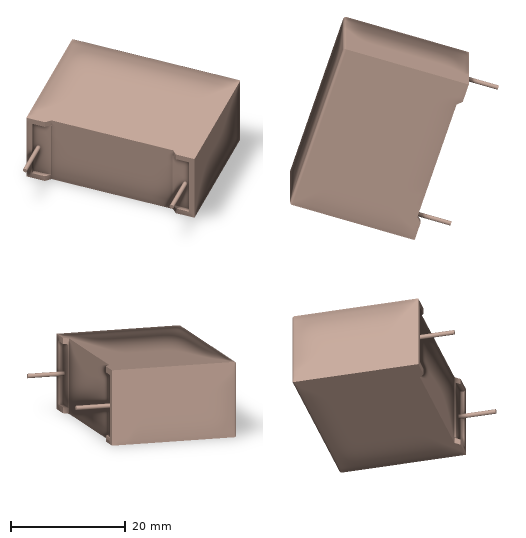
import cadquery as cq

length = 31.5
height = 13.5
depth = 23.0
wall = 1.07
back_fillet = 0.5

recess_depth = 0.88
foot_length = 3.5
bridge_start = foot_length + recess_depth
bridge_thickness = wall

fill_proud = 0.15
fill_level = recess_depth - fill_proud

overall_depth = 29.0
lead_diameter = 0.8
lead_spacing = 27.5
lead_length = overall_depth - depth + fill_level

cavity_length = length - 2 * wall
cavity_height = height - 2 * wall
bridge_length = length - 2 * bridge_start


def y_box(size_x, size_z, y_start, y_end):
    """Box centred on X and Z, spanning y_start to y_end."""
    return cq.Workplane("XY").box(size_x, y_end - y_start, size_z).translate((0, (y_start + y_end) / 2, 0))


def make_bridge():
    """Cover plate across the middle of the cavity, flush with the recess floor."""
    return y_box(bridge_length, cavity_height, recess_depth, recess_depth + bridge_thickness)


def make_housing():
    """Open box with rounded back edges, a recessed underside and a bridge over its opening."""
    shell = y_box(length, height, 0, depth).faces(">Y").edges().fillet(back_fillet)
    cavity = y_box(cavity_length, cavity_height, 0, depth - wall)
    foot_x = length / 2 - foot_length
    bridge_x = bridge_length / 2
    recess = (
        cq.Workplane("XY")
        .polyline([(-foot_x, 0), (-bridge_x, recess_depth), (bridge_x, recess_depth), (foot_x, 0)])
        .close()
        .extrude(height / 2, both=True)
    )
    return shell.cut(cavity).cut(recess).union(make_bridge())


def make_filling():
    """Block filling the cavity, notched so that its two ends rise beside the bridge."""
    block = y_box(cavity_length, cavity_height, fill_level, depth - wall)
    notch = y_box(bridge_length, cavity_height, 0, recess_depth + bridge_thickness)
    return block.cut(notch)


def make_lead(x):
    """Straight round wire standing on the exposed face of the filling."""
    return (
        cq.Workplane("XZ", origin=(x, fill_level, 0))
        .circle(lead_diameter / 2)
        .extrude(lead_length)
    )


housing = make_housing()
filling = make_filling()
leads = [make_lead(side * lead_spacing / 2) for side in (-1, 1)]

result = cq.Compound.makeCompound([housing.val(), filling.val(), *[lead.val() for lead in leads]])